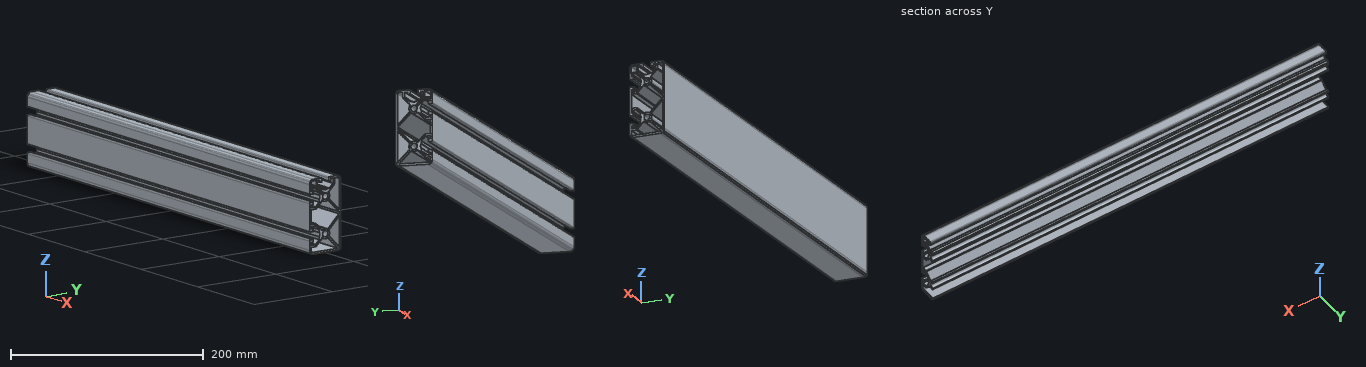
import cadquery as cq
import math

length = 500.0
width = 40.0
height = 80.0
corner_radius = 5.0
wall = 2.25
inner_corner_radius = 1.5

half = width / 2
upper_core = (0, height / 2 - half)
lower_core = (0, half - height / 2)
core_radius = 5.5
bore_radius = 3.4

slot_web = 1.9
slot_web_shift = 0.75
closed_web = 1.6
base_web = 2.2
corner_web = 4.0
corner_channel = 2.0
channel_start = 4.5

mouth_half = 4.25
mouth_edge_radius = 1.0
lip_depth = 4.5
lip_half = 6.75
lip_root_half = 7.5
chamber_half = 10.0
chamber_leg = 2.25
leg_start = 12.0
floor_out = 7.75
groove_half = 2.25
groove_depth = 0.75

corner_wall = 1.75
corner_leg = 1.5
corner_box_radius = 1.0

TOWARD_TOP = 90
TOWARD_FRONT = 180
TOP_BACK = 45
TOP_FRONT = 135
BOTTOM_FRONT = 225
BOTTOM_BACK = 315


def prism(points):
    """Extrude a closed (y, z) polygon over the full length."""
    return cq.Workplane("YZ").polyline(points).close().extrude(length / 2, both=True)


def rod(centre, radius):
    """Full-length cylinder around a (y, z) centre."""
    return cq.Workplane("YZ").center(*centre).circle(radius).extrude(length / 2, both=True)


def block(y_min, y_max, z_min, z_max):
    """Full-length rectangular bar."""
    return prism([(y_min, z_min), (y_max, z_min), (y_max, z_max), (y_min, z_max)])


def placer(core, angle):
    """Map (out, across) about a core to (y, z); across is 90 degrees anticlockwise of out."""
    cos_a = math.cos(math.radians(angle))
    sin_a = math.sin(math.radians(angle))

    def place(out, across):
        return (core[0] + out * cos_a - across * sin_a, core[1] + out * sin_a + across * cos_a)

    return place


def strip(core, angle, start, end, low, high):
    """Bar from start to end along a direction, spanning low to high across it."""
    place = placer(core, angle)
    return prism([place(start, low), place(end, low), place(end, high), place(start, high)])


def web(core, angle, start, end, thickness):
    """Straight web centred on a line through the core."""
    return strip(core, angle, start, end, -thickness / 2, thickness / 2)


def shifted_web(core, angle, end, side):
    """Slot web moved off the core diagonal; side is +1 or -1 along the across direction."""
    middle = side * slot_web_shift
    return strip(core, angle, 0, end, middle - slot_web / 2, middle + slot_web / 2)


def slot_floor(core, angle):
    """Wedge that joins the core to the flat floor of a slot."""
    place = placer(core, angle)
    return prism([place(0, 0), place(floor_out, -floor_out), place(floor_out, floor_out)])


def slot_cavity(core, angle, low_face, high_face):
    """Open space of a T-slot; its sloped sides lie off the core diagonals by the two face distances."""
    place = placer(core, angle)
    low_offset = low_face * math.sqrt(2)
    high_offset = high_face * math.sqrt(2)
    mouth_start = half - mouth_edge_radius
    mouth_wide = mouth_half + mouth_edge_radius
    fillet_mid = mouth_edge_radius * (1 - math.sqrt(0.5))
    lip_out = half - lip_depth
    chamber_out = half - wall
    outline = (
        cq.Workplane("YZ")
        .moveTo(*place(mouth_start, mouth_half))
        .threePointArc(place(half - fillet_mid, mouth_half + fillet_mid), place(half, mouth_wide))
        .lineTo(*place(half, -mouth_wide))
        .threePointArc(place(half - fillet_mid, -mouth_half - fillet_mid), place(mouth_start, -mouth_half))
        .lineTo(*place(lip_out, -mouth_half))
        .lineTo(*place(lip_out, -lip_half))
        .lineTo(*place(chamber_out, -lip_root_half))
        .lineTo(*place(chamber_out, -chamber_half))
        .lineTo(*place(chamber_half + low_offset, -chamber_half))
        .lineTo(*place(floor_out, low_offset - floor_out))
        .lineTo(*place(floor_out, -groove_half))
        .threePointArc(place(floor_out - groove_depth, 0), place(floor_out, groove_half))
        .lineTo(*place(floor_out, floor_out - high_offset))
        .lineTo(*place(chamber_half + high_offset, chamber_half))
        .lineTo(*place(chamber_out, chamber_half))
        .lineTo(*place(chamber_out, lip_root_half))
        .lineTo(*place(lip_out, lip_half))
        .lineTo(*place(lip_out, mouth_half))
        .close()
    )
    return outline.extrude(length / 2, both=True)


slot_face = slot_web_shift + slot_web / 2
corner_face = corner_web / 2

slots = [
    (upper_core, TOWARD_TOP, slot_face, chamber_leg, corner_face, corner_leg),
    (upper_core, TOWARD_FRONT, corner_face, corner_leg, slot_face, chamber_leg),
    (lower_core, TOWARD_FRONT, slot_face, chamber_leg, slot_face, chamber_leg),
]

outer = cq.Workplane("YZ").rect(width, height).extrude(length / 2, both=True)
outer = outer.edges("|X").fillet(corner_radius)
inner = cq.Workplane("YZ").rect(width - 2 * wall, height - 2 * wall).extrude(length / 2, both=True)
inner = inner.edges("|X").fillet(inner_corner_radius)
body = outer.cut(inner)

skin = half - wall / 2
for core in (upper_core, lower_core):
    body = body.union(rod(core, core_radius))
for core, angle, low_face, low_leg, high_face, high_leg in slots:
    body = body.union(slot_floor(core, angle))
    body = body.union(strip(core, angle, half - lip_depth, skin, -chamber_half, chamber_half))
    body = body.union(strip(core, angle, leg_start, skin, -chamber_half - low_leg, -chamber_half))
    body = body.union(strip(core, angle, leg_start, skin, chamber_half, chamber_half + high_leg))

leg_end = (chamber_half + leg_start + chamber_leg / 2) / math.sqrt(2)
skin_end = skin * math.sqrt(2)
box_end = (chamber_half + corner_leg) * math.sqrt(2)
body = body.union(shifted_web(upper_core, TOP_BACK, leg_end, 1))
body = body.union(web(upper_core, TOP_FRONT, 0, box_end, corner_web))
body = body.union(shifted_web(upper_core, BOTTOM_FRONT, leg_end, -1))
body = body.union(web(upper_core, BOTTOM_BACK, 0, skin_end, closed_web))
body = body.union(web(lower_core, TOP_BACK, 0, skin_end, closed_web))
body = body.union(shifted_web(lower_core, TOP_FRONT, leg_end, 1))
body = body.union(shifted_web(lower_core, BOTTOM_FRONT, leg_end, -1))
body = body.union(web(lower_core, BOTTOM_BACK, 0, skin_end, base_web))

for core, angle, low_face, low_leg, high_face, high_leg in slots:
    body = body.cut(slot_cavity(core, angle, low_face, high_face))

box_near = chamber_half + corner_leg
box_far = half - corner_wall
corner_box = block(-box_far, -box_near, upper_core[1] + box_near, upper_core[1] + box_far)
corner_box = corner_box.edges("|X and >Z and <Y").fillet(corner_box_radius)
body = body.cut(corner_box)
channel_end = chamber_half * math.sqrt(2)
body = body.cut(web(upper_core, TOP_FRONT, channel_start, channel_end, corner_channel))

for core in (upper_core, lower_core):
    body = body.cut(rod(core, bore_radius))

result = body